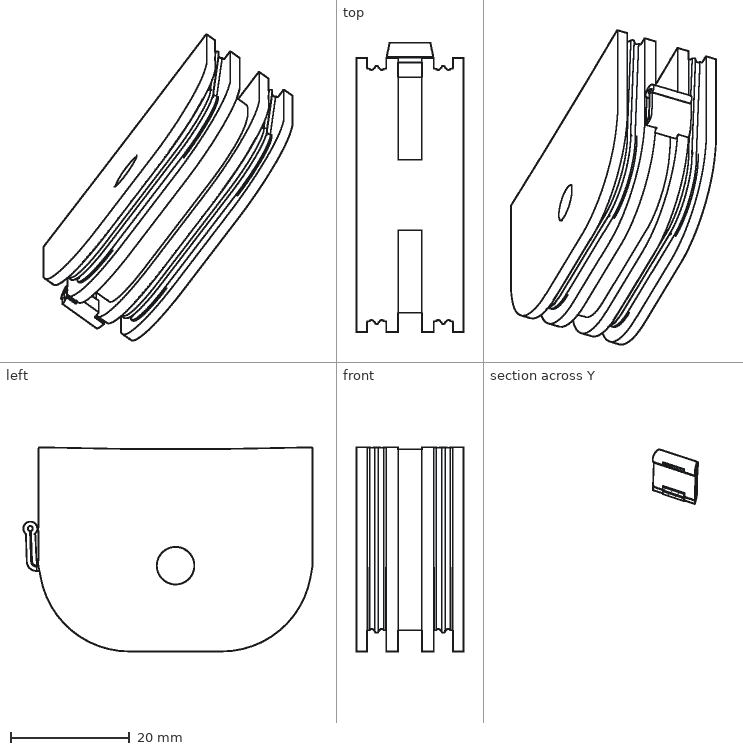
import cadquery as cq
import math

body_width = 18.0
half_length = 23.06
bottom_z = -14.45
top_edge_z = 19.93
top_middle_z = 19.6
corner_radius = 15.2
draft_angle = math.radians(10.0)
top_edge_fillet = 0.3

hole_diameter = 6.28
hole_edge_fillet = 0.28
lip_thickness = 0.35
bore_diameter = 11.0

slot_width = 4.0
slot_half_length = 19.82
slot_bottom_z = -10.9
slot_corner_radius = 10.1
slot_upper_arc_z = 5.73

groove_width = 3.2
groove_centre_x = 5.6
groove_top_y = 21.28
groove_floor_z = -10.87
groove_arc_start_z = -0.37
groove_taper = math.radians(4.3)
groove_edge_fillet = 0.1
recess_outer = 1.2
recess_inner = 0.5
recess_depth = 0.22
ridge_half_width = 0.3
ridge_shoulder = 0.2
ridge_height = 0.45

clip_base_width = 7.95
clip_tip_width = 6.9
loop_y = 24.43
loop_z = 6.25
loop_radius = 1.18
loop_hole_radius = 0.4
bend_y = 23.4
bend_z = 0.75
bend_radius = 1.65
leg_thickness = 0.83
leg_top_z = 5.3
outer_leg_top_y = 25.2
inner_leg_top_y = 23.57
inner_leg_bottom_y = 23.38
slit_width = 0.12
link_top_z = 0.86
tab_bottom_z = 5.85
tab_top_z = 6.45
web_thickness = 0.8
web_top_z = 6.75

clearance = 5.0


def point_on_arc(centre_y, centre_z, radius, degrees):
    angle = math.radians(degrees)
    return (centre_y + radius * math.cos(angle), centre_z + radius * math.sin(angle))


def extrude_across(outline, width):
    """Extrude a YZ outline symmetrically about X = 0."""
    return outline.extrude(width / 2, both=True)


def lower_corner(half_span, low_z, radius):
    """Centre, start and middle of a corner arc that follows a drafted side line."""
    centre_z = low_z + radius
    start_z = centre_z - radius * math.sin(draft_angle)
    start_y = half_span + start_z * math.tan(draft_angle)
    centre_y = start_y - radius * math.cos(draft_angle)
    middle_angle = -(math.degrees(draft_angle) + 90.0) / 2
    middle = point_on_arc(centre_y, centre_z, radius, middle_angle)
    return centre_y, (start_y, start_z), middle


def mirrored(point):
    return (-point[0], point[1])


def make_body():
    flat_y, arc_start, arc_middle = lower_corner(half_length, bottom_z, corner_radius)
    outline = (
        cq.Workplane("YZ")
        .moveTo(-half_length, top_edge_z)
        .threePointArc((0, top_middle_z), (half_length, top_edge_z))
        .lineTo(half_length, 0)
        .lineTo(*arc_start)
        .threePointArc(arc_middle, (flat_y, bottom_z))
        .lineTo(-flat_y, bottom_z)
        .threePointArc(mirrored(arc_middle), mirrored(arc_start))
        .lineTo(-half_length, 0)
        .close()
    )
    body = extrude_across(outline, body_width)
    ends = body.faces("<Y or >Y").edges(">Z")
    return body.newObject(ends.vals()).fillet(top_edge_fillet)


def make_hole():
    """Revolve the half section of the lipped bore about the X axis."""
    hole_radius = hole_diameter / 2
    end_x = body_width / 2
    bore_x = end_x - lip_thickness
    fillet_x = end_x - hole_edge_fillet
    mouth_radius = hole_radius + hole_edge_fillet
    fillet_middle = point_on_arc(fillet_x, mouth_radius, hole_edge_fillet, -45)
    section = (
        cq.Workplane("XY")
        .moveTo(-end_x, 0)
        .lineTo(-end_x, mouth_radius)
        .threePointArc(mirrored(fillet_middle), (-fillet_x, hole_radius))
        .lineTo(-bore_x, hole_radius)
        .lineTo(-bore_x, bore_diameter / 2)
        .lineTo(bore_x, bore_diameter / 2)
        .lineTo(bore_x, hole_radius)
        .lineTo(fillet_x, hole_radius)
        .threePointArc(fillet_middle, (end_x, mouth_radius))
        .lineTo(end_x, 0)
        .close()
    )
    return section.revolve(360, (0, 0, 0), (1, 0, 0))


def make_slot():
    """Ring of material removed around the core left between the inner flanges."""
    flat_y, arc_start, arc_middle = lower_corner(slot_half_length, slot_bottom_z, slot_corner_radius)
    upper_radius = top_middle_z - slot_upper_arc_z
    upper_y = slot_half_length - upper_radius
    upper_middle = point_on_arc(upper_y, slot_upper_arc_z, upper_radius, 45)
    roof_z = top_edge_z + clearance
    core = (
        cq.Workplane("YZ")
        .moveTo(-upper_y, roof_z)
        .lineTo(upper_y, roof_z)
        .lineTo(upper_y, top_middle_z)
        .threePointArc(upper_middle, (slot_half_length, slot_upper_arc_z))
        .lineTo(slot_half_length, 0)
        .lineTo(*arc_start)
        .threePointArc(arc_middle, (flat_y, slot_bottom_z))
        .lineTo(-flat_y, slot_bottom_z)
        .threePointArc(mirrored(arc_middle), mirrored(arc_start))
        .lineTo(-slot_half_length, 0)
        .lineTo(-slot_half_length, slot_upper_arc_z)
        .threePointArc(mirrored(upper_middle), (-upper_y, top_middle_z))
        .close()
    )
    length = 2 * (half_length + clearance)
    height = 2 * (top_edge_z + clearance)
    surround = cq.Workplane("XY").box(slot_width, length, height)
    return surround.cut(extrude_across(core, slot_width))


def make_groove(centre_x):
    """Sweep the ridged section down one tapered side, under the core and up the other."""
    tilt = math.tan(groove_taper)
    radius = (groove_arc_start_z - groove_floor_z) / (1 + math.sin(groove_taper))
    arc_start = (groove_top_y - (top_edge_z - groove_arc_start_z) * tilt, groove_arc_start_z)
    flat_y = arc_start[0] - radius * math.cos(groove_taper)
    arc_middle = point_on_arc(flat_y, groove_floor_z + radius, radius, -45)
    line_start = (groove_top_y + clearance * tilt, top_edge_z + clearance)
    path = (
        cq.Workplane("YZ", origin=(centre_x, 0, 0))
        .moveTo(*line_start)
        .lineTo(*arc_start)
        .threePointArc(arc_middle, (flat_y, groove_floor_z))
        .lineTo(-flat_y, groove_floor_z)
        .threePointArc(mirrored(arc_middle), mirrored(arc_start))
        .lineTo(*mirrored(line_start))
    )
    section_plane = cq.Plane(
        origin=(centre_x, *line_start),
        xDir=(1, 0, 0),
        normal=(0, math.sin(groove_taper), math.cos(groove_taper)),
    )
    wall = groove_width / 2
    recess_middle = (recess_inner + recess_outer) / 2
    edge = groove_edge_fillet
    edge_middle = edge * (1 - math.sqrt(0.5))
    section = (
        cq.Workplane(section_plane)
        .moveTo(-wall, clearance)
        .lineTo(-wall, edge)
        .threePointArc((-wall + edge_middle, edge_middle), (-wall + edge, 0))
        .lineTo(-recess_outer, 0)
        .threePointArc((-recess_middle, -recess_depth), (-recess_inner, 0))
        .lineTo(-ridge_half_width, ridge_shoulder)
        .threePointArc((0, ridge_height), (ridge_half_width, ridge_shoulder))
        .lineTo(recess_inner, 0)
        .threePointArc((recess_middle, -recess_depth), (recess_outer, 0))
        .lineTo(wall - edge, 0)
        .threePointArc((wall - edge_middle, edge_middle), (wall, edge))
        .lineTo(wall, clearance)
        .close()
    )
    return section.sweep(path)


def make_slot_block(start_y, end_y, low_z, high_z):
    """Block as wide as the central slot between the given limits."""
    block = cq.Workplane("XY").box(slot_width, end_y - start_y, high_z - low_z, centered=(True, False, False))
    return block.translate((0, start_y, low_z))


def make_clip_slit():
    """Narrow gap between the two legs, curving round the bend to the body."""
    middle_radius = bend_radius - leg_thickness
    outer_radius = middle_radius + slit_width / 2
    inner_radius = middle_radius - slit_width / 2
    outline = (
        cq.Workplane("YZ")
        .moveTo(loop_y + slit_width / 2, loop_z)
        .lineTo(bend_y + outer_radius, bend_z)
        .threePointArc(point_on_arc(bend_y, bend_z, outer_radius, -45), (bend_y, bend_z - outer_radius))
        .lineTo(half_length, bend_z - outer_radius)
        .lineTo(half_length, bend_z - inner_radius)
        .lineTo(bend_y, bend_z - inner_radius)
        .threePointArc(point_on_arc(bend_y, bend_z, inner_radius, -45), (bend_y + inner_radius, bend_z))
        .lineTo(loop_y - slit_width / 2, loop_z)
        .close()
    )
    return extrude_across(outline, body_width)


def make_clip_taper():
    """Plan shape that narrows the clip towards its tip."""
    tip_y = loop_y + loop_radius
    plan = [
        (-clip_base_width / 2, half_length),
        (clip_base_width / 2, half_length),
        (clip_tip_width / 2, tip_y),
        (-clip_tip_width / 2, tip_y),
    ]
    height = 2 * (loop_z + clearance)
    return cq.Workplane("XY").polyline(plan).close().extrude(height / 2, both=True)


def make_clip():
    bend_bottom_z = bend_z - bend_radius
    legs = (
        cq.Workplane("YZ")
        .moveTo(bend_y, bend_bottom_z)
        .threePointArc(point_on_arc(bend_y, bend_z, bend_radius, -45), (bend_y + bend_radius, bend_z))
        .lineTo(outer_leg_top_y, leg_top_z)
        .lineTo(inner_leg_top_y, leg_top_z)
        .lineTo(inner_leg_bottom_y, link_top_z)
        .lineTo(inner_leg_bottom_y, bend_bottom_z)
        .close()
    )
    loop = cq.Workplane("YZ").center(loop_y, loop_z).circle(loop_radius)
    loop_hole = cq.Workplane("YZ").center(loop_y, loop_z).circle(loop_hole_radius)
    link = make_slot_block(half_length, bend_y, bend_bottom_z, link_top_z)
    clip = extrude_across(legs, body_width).union(extrude_across(loop, body_width)).union(link)
    clip = clip.cut(extrude_across(loop_hole, body_width)).cut(make_clip_slit())
    return clip.intersect(make_clip_taper())


result = make_body().cut(make_hole()).cut(make_slot())
for groove_side in (-1, 1):
    result = result.cut(make_groove(groove_side * groove_centre_x))

web = make_slot_block(half_length - web_thickness, half_length, bend_z - bend_radius, web_top_z)
tab_end_y = loop_y - (loop_radius + loop_hole_radius) / 2
loop_tab = make_slot_block(half_length, tab_end_y, tab_bottom_z, tab_top_z)
result = result.union(web).union(make_clip()).union(loop_tab)